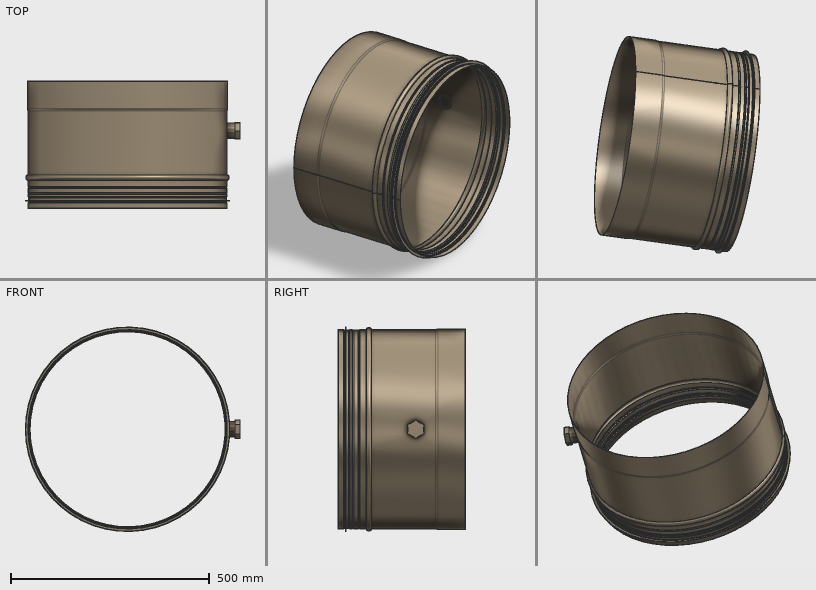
import cadquery as cq
import math

DUCT_LENGTH = 320.0
SHEET = 0.5
SEAM_GAP = 0.5

TUBE_R = 501.5 / 2
SOCKET_R = 504.5 / 2
BEAD_R = 512.0 / 2
FLOOR_R = 491.5 / 2

SEAL_GROOVE_START = 13.5
SEAL_GROOVE_END = 29.5
BAND_GROOVE_START = 34.5
BAND_GROOVE_END = 54.5
GROOVE_SLOPE = 4.0
GROOVE_ANGLE = math.atan((TUBE_R - FLOOR_R) / GROOVE_SLOPE)

BEAD_Y = 77.0
BEAD_HALF_WIDTH = 7.0

SOCKET_STEP_START = 245.5
SOCKET_STEP_END = 250.5

RING_BASE_R = 497.0 / 2
BAND_R = 501.0 / 2
BAND_CROWN_INSET = 5.0
SEAL_CROWN_R = 499.0 / 2
SEAL_CROWN_INSET = 3.0

SEAL_R = 514.5 / 2
LIP_Y = 19.0
LIP_WIDTH = 0.5

PORT_Y = 195.0
PORT_R = 39.5 / 2
PORT_HOLE_R = 33.5 / 2
BORE_R = 33.0 / 2
HEX_FLATS = 41.0
HEX_LENGTH = 12.5
PORT_END = 540.5 - SEAL_R
COUPLING_END = PORT_END - HEX_LENGTH
PLUG_TIP = 254.0


def revolved(profile):
    """Revolve a half section about the Y axis, with its start on the -X side."""
    return profile.close().revolve(360, (0, 0, 0), (0, 1, 0))


def x_cylinder(radius, start, end):
    """Cylinder along X on the port axis."""
    plane = cq.Workplane("YZ", origin=(start, PORT_Y, 0))
    return plane.circle(radius).extrude(end - start)


def groove_points(start, end, inset):
    """Groove corners on the wall surface that lies `inset` under the outer one."""
    shift = inset * math.tan(GROOVE_ANGLE / 2)
    return [
        (-(TUBE_R - inset), start - shift),
        (-(FLOOR_R - inset), start + GROOVE_SLOPE - shift),
        (-(FLOOR_R - inset), end - GROOVE_SLOPE + shift),
        (-(TUBE_R - inset), end + shift),
    ]


def wall_side(inset):
    """One wall surface: points up to the bead, top of the bead, points from the bead to the socket end."""
    tube = TUBE_R - inset
    socket = SOCKET_R - inset
    before_bead = [
        (-tube, 0),
        *groove_points(SEAL_GROOVE_START, SEAL_GROOVE_END, inset),
        *groove_points(BAND_GROOVE_START, BAND_GROOVE_END, inset),
        (-tube, BEAD_Y - BEAD_HALF_WIDTH + inset),
    ]
    bead_top = (-(BEAD_R - inset), BEAD_Y)
    after_bead = [
        (-tube, BEAD_Y + BEAD_HALF_WIDTH - inset),
        (-tube, SOCKET_STEP_START),
        (-socket, SOCKET_STEP_END),
        (-socket, DUCT_LENGTH),
    ]
    return before_bead, bead_top, after_bead


def make_duct():
    """Rolled sheet duct with grooves, stop bead, socket, port hole and an open lengthwise seam on -X."""
    before, top, after = wall_side(0)
    inner_before, inner_top, inner_after = wall_side(SHEET)
    profile = (
        cq.Workplane("XY")
        .polyline(before)
        .threePointArc(top, after[0])
        .polyline(after[1:], includeCurrent=True)
        .polyline(inner_after[::-1], includeCurrent=True)
        .threePointArc(inner_top, inner_before[-1])
        .polyline(inner_before[-2::-1], includeCurrent=True)
    )
    port_hole = x_cylinder(PORT_HOLE_R, 0, PORT_END)
    seam = cq.Workplane("XY").box(SEAL_R, DUCT_LENGTH, SEAM_GAP, centered=(False, False, True))
    return revolved(profile).cut(port_hole).cut(seam.translate((-SEAL_R, 0, 0)))


def groove_ring(start, end, crown_r, crown_inset):
    """Ring seated in a groove, touching its floor and the lower part of its sides."""
    base_inset = GROOVE_SLOPE * (TUBE_R - RING_BASE_R) / (TUBE_R - FLOOR_R)
    profile = cq.Workplane("XY").polyline(
        [
            (-FLOOR_R, start + GROOVE_SLOPE),
            (-RING_BASE_R, start + base_inset),
            (-crown_r, start + crown_inset),
            (-crown_r, end - crown_inset),
            (-RING_BASE_R, end - base_inset),
            (-FLOOR_R, end - GROOVE_SLOPE),
        ]
    )
    return revolved(profile)


def make_seal():
    """Seal ring with a thin lip."""
    ring = groove_ring(SEAL_GROOVE_START, SEAL_GROOVE_END, SEAL_CROWN_R, SEAL_CROWN_INSET)
    lip_start = LIP_Y - LIP_WIDTH / 2
    lip_end = LIP_Y + LIP_WIDTH / 2
    lip = cq.Workplane("XY").polyline(
        [(-RING_BASE_R, lip_start), (-SEAL_R, lip_start), (-SEAL_R, lip_end), (-RING_BASE_R, lip_end)]
    )
    return ring.union(revolved(lip))


def make_band():
    """Plain ring in the band groove."""
    return groove_ring(BAND_GROOVE_START, BAND_GROOVE_END, BAND_R, BAND_CROWN_INSET)


def make_coupling():
    """Short pipe that sits on the outside of the duct around the port hole."""
    duct_outside = cq.Workplane("XZ").circle(TUBE_R).extrude(-DUCT_LENGTH)
    pipe = x_cylinder(PORT_R, 0, COUPLING_END).cut(duct_outside)
    return pipe.cut(x_cylinder(BORE_R, 0, COUPLING_END))


def make_plug():
    """Hexagon head plug, corners up and down, whose shank fills the coupling bore."""
    corner_diameter = HEX_FLATS / math.cos(math.pi / 6)
    head = (
        cq.Workplane("YZ", origin=(COUPLING_END, PORT_Y, 0))
        .transformed(rotate=(0, 0, 90))
        .polygon(6, corner_diameter)
        .extrude(HEX_LENGTH)
    )
    return head.union(x_cylinder(BORE_R, PLUG_TIP, COUPLING_END))


duct = make_duct()
seal = make_seal()
band = make_band()
coupling = make_coupling()
plug = make_plug()
result = cq.Compound.makeCompound([duct.val(), seal.val(), band.val(), coupling.val(), plug.val()])